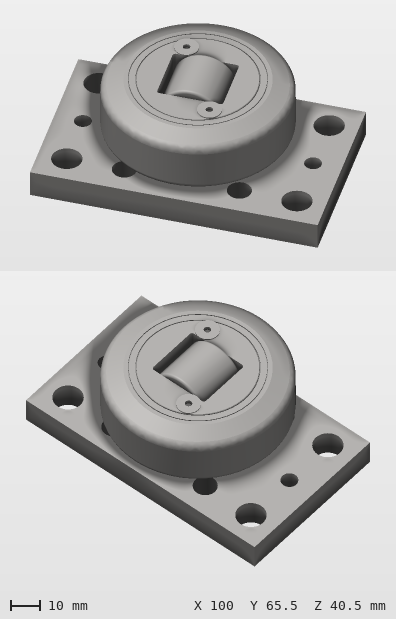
import cadquery as cq

PLATE_LENGTH = 100.0
PLATE_WIDTH = 60.0
PLATE_THICKNESS = 10.0
OUTER_HOLE_X = 40.0
INNER_HOLE_X = 20.0
HOLE_ROW_Y = 20.0
CORNER_HOLE_DIAMETER = 10.5
INNER_HOLE_DIAMETER = 8.4
DOWEL_HOLE_DIAMETER = 6.0

NECK_DIAMETER = 42.0
NECK_CHAMFER = 0.5
COLLAR_DIAMETER = 42.1
COLLAR_BOTTOM_Z = 17.0

ROLLER_DIAMETER = 65.5
ROLLER_BOTTOM_Z = 17.7
ROLLER_TOP_Z = 37.8
ROLLER_FACE_DIAMETER = 50.0
CROWN_RISE = 2.8
ROLLER_TOP_FILLET = 3.0
ROLLER_BOTTOM_FILLET = 2.0

SEAL_OUTER_DIAMETER = 47.0
SEAL_INNER_DIAMETER = 42.0
SEAL_GAP = 0.3
GROOVE_DEPTH = 0.5
HUB_DIAMETER = SEAL_INNER_DIAMETER - 2 * SEAL_GAP
HUB_TOP_Z = 38.0
HUB_CHAMFER = 0.2

SIDE_ROLLER_TOP_Z = 40.5
SIDE_ROLLER_RADIUS = 11.0
SIDE_ROLLER_LENGTH = 20.0
SIDE_ROLLER_FILLET = 1.0
POCKET_LENGTH = 23.0
POCKET_WIDTH = 20.8
POCKET_CORNER_RADIUS = 1.0
SIDE_ROLLER_AXIS_Z = SIDE_ROLLER_TOP_Z - SIDE_ROLLER_RADIUS

SCREW_X = 8.0
SCREW_Y = 14.4
SCREW_HEAD_DIAMETER = 8.4
SCREW_HEAD_RISE = 0.4
SCREW_SOCKET_DIAMETER = 2.5
SCREW_SOCKET_DEPTH = 1.5


def disc(diameter, bottom_z, top_z):
    """Vertical cylinder on the main axis."""
    return cq.Workplane("XY").workplane(offset=bottom_z).circle(diameter / 2).extrude(top_z - bottom_z)


def make_plate():
    plate = cq.Workplane("XY").rect(PLATE_LENGTH, PLATE_WIDTH).extrude(PLATE_THICKNESS)
    hole_patterns = [
        (CORNER_HOLE_DIAMETER, OUTER_HOLE_X, (-HOLE_ROW_Y, HOLE_ROW_Y)),
        (INNER_HOLE_DIAMETER, INNER_HOLE_X, (-HOLE_ROW_Y, HOLE_ROW_Y)),
        (DOWEL_HOLE_DIAMETER, OUTER_HOLE_X, (0,)),
    ]
    for diameter, hole_x, rows in hole_patterns:
        centers = [(x, y) for x in (-hole_x, hole_x) for y in rows]
        plate = plate.cut(cq.Workplane("XY").pushPoints(centers).circle(diameter / 2).extrude(PLATE_THICKNESS))
    return plate


def make_neck():
    neck = disc(NECK_DIAMETER, PLATE_THICKNESS, COLLAR_BOTTOM_Z).faces("<Z").chamfer(NECK_CHAMFER)
    return neck.union(disc(COLLAR_DIAMETER, COLLAR_BOTTOM_Z, ROLLER_BOTTOM_Z))


def make_main_roller():
    radius = ROLLER_DIAMETER / 2
    shoulder_z = ROLLER_TOP_Z - CROWN_RISE
    roller = (
        cq.Workplane("XZ")
        .moveTo(0, ROLLER_BOTTOM_Z)
        .lineTo(radius, ROLLER_BOTTOM_Z)
        .lineTo(radius, shoulder_z)
        .lineTo(ROLLER_FACE_DIAMETER / 2, ROLLER_TOP_Z)
        .lineTo(0, ROLLER_TOP_Z)
        .close()
        .revolve(360, (0, 0, 0), (0, 1, 0))
    )
    shoulder = cq.selectors.NearestToPointSelector((0, 0, shoulder_z))
    roller = roller.edges(shoulder).fillet(ROLLER_TOP_FILLET)
    return roller.faces("<Z").edges().fillet(ROLLER_BOTTOM_FILLET)


def make_seal_groove(outer_diameter):
    """Narrow ring-shaped gap in the roller face, inside the given diameter."""
    bottom_z = ROLLER_TOP_Z - GROOVE_DEPTH
    ring = disc(outer_diameter, bottom_z, ROLLER_TOP_Z)
    return ring.cut(disc(outer_diameter - 2 * SEAL_GAP, bottom_z, ROLLER_TOP_Z))


def make_hub():
    return disc(HUB_DIAMETER, ROLLER_TOP_Z - GROOVE_DEPTH, HUB_TOP_Z).faces(">Z").chamfer(HUB_CHAMFER)


def make_pocket():
    return (
        cq.Workplane("XY")
        .workplane(offset=SIDE_ROLLER_AXIS_Z)
        .rect(POCKET_LENGTH, POCKET_WIDTH)
        .extrude(HUB_TOP_Z - SIDE_ROLLER_AXIS_Z)
        .edges("|Z")
        .fillet(POCKET_CORNER_RADIUS)
    )


def make_side_roller():
    return (
        cq.Workplane("XZ", origin=(0, SIDE_ROLLER_LENGTH / 2, SIDE_ROLLER_AXIS_Z))
        .circle(SIDE_ROLLER_RADIUS)
        .extrude(SIDE_ROLLER_LENGTH)
        .edges()
        .fillet(SIDE_ROLLER_FILLET)
    )


def make_screw_cylinders(diameter, bottom_z, top_z):
    """Pair of vertical cylinders at the two screw positions."""
    centers = [(-SCREW_X, SCREW_Y), (SCREW_X, -SCREW_Y)]
    plane = cq.Workplane("XY").workplane(offset=bottom_z)
    return plane.pushPoints(centers).circle(diameter / 2).extrude(top_z - bottom_z)


screw_top_z = HUB_TOP_Z + SCREW_HEAD_RISE

body = make_plate().union(make_neck()).union(make_main_roller())
for seal_diameter in (SEAL_OUTER_DIAMETER, SEAL_INNER_DIAMETER):
    body = body.cut(make_seal_groove(seal_diameter))
body = body.union(make_hub()).cut(make_pocket())
body = body.union(make_side_roller())
body = body.union(make_screw_cylinders(SCREW_HEAD_DIAMETER, HUB_TOP_Z - SCREW_SOCKET_DEPTH, screw_top_z))
result = body.cut(make_screw_cylinders(SCREW_SOCKET_DIAMETER, screw_top_z - SCREW_SOCKET_DEPTH, screw_top_z))